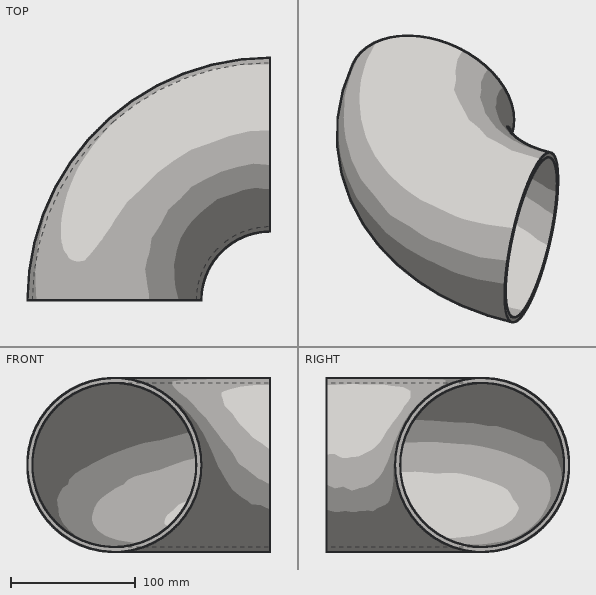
import cadquery as cq

overall_length = 194.8
outer_diameter = 139.7
wall_thickness = 4.0
bend_angle = 90.0

outer_radius = outer_diameter / 2
inner_radius = outer_radius - wall_thickness
bend_radius = overall_length - outer_radius

pipe_section = (
    cq.Workplane("XZ")
    .center(-bend_radius, 0)
    .circle(outer_radius)
    .circle(inner_radius)
)

axis_start = (bend_radius, 0)
axis_end = (bend_radius, -1)
result = pipe_section.revolve(bend_angle, axis_start, axis_end)